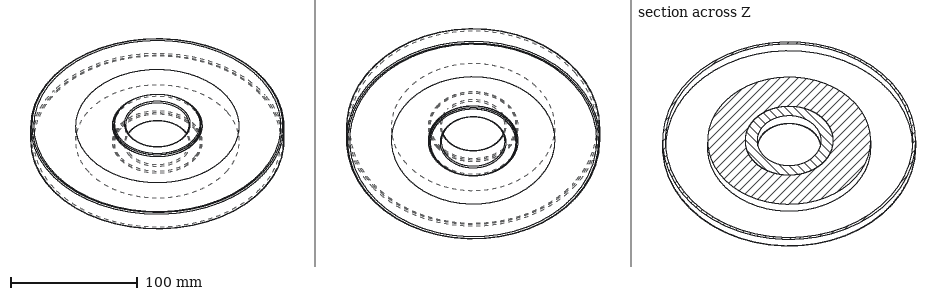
import cadquery as cq

disc_diameter = 200.0
disc_height = 18.0
disc_edge_chamfer = 1.0
cavity_outer_diameter = 195.0
cavity_inner_diameter = 129.0
cavity_cover_thickness = 0.5
hub_diameter = 69.0
hub_height = 21.5
hub_edge_chamfer = 0.8
bore_diameter = 50.0
bore_edge_chamfer = 1.0
seat_edge_chamfer = 1.0

cavity_height = disc_height - 2 * cavity_cover_thickness


def flat_ring(outer_diameter, inner_diameter, height):
    """Square-edged ring centred on the origin, with its axis along Z."""
    outline = cq.Workplane("XY").workplane(offset=-height / 2)
    return outline.circle(outer_diameter / 2).circle(inner_diameter / 2).extrude(height)


def chamfered_ring(outer_diameter, inner_diameter, height, outer_chamfer, inner_chamfer):
    """Flat ring with its outer and inner rims chamfered at both ends."""
    ring = flat_ring(outer_diameter, inner_diameter, height)
    outer_rims = ring.faces("|Z").edges(cq.selectors.RadiusNthSelector(-1))
    ring = outer_rims.chamfer(outer_chamfer)
    inner_rims = ring.faces("|Z").edges(cq.selectors.RadiusNthSelector(0))
    return inner_rims.chamfer(inner_chamfer)


def make_cavity():
    """Closed ring-shaped void that leaves a thin cover under each face of the disc."""
    return flat_ring(cavity_outer_diameter, cavity_inner_diameter, cavity_height)


def make_disc():
    """Wide disc whose central hole seats the hub, hollowed by a closed cavity."""
    disc = chamfered_ring(
        disc_diameter, hub_diameter, disc_height, disc_edge_chamfer, seat_edge_chamfer
    )
    return disc.cut(make_cavity())


def make_hub():
    """Bored sleeve standing proud of both faces of the disc."""
    return chamfered_ring(
        hub_diameter, bore_diameter, hub_height, hub_edge_chamfer, bore_edge_chamfer
    )


disc = make_disc()
hub = make_hub()

result = cq.Compound.makeCompound([disc.val(), hub.val()])